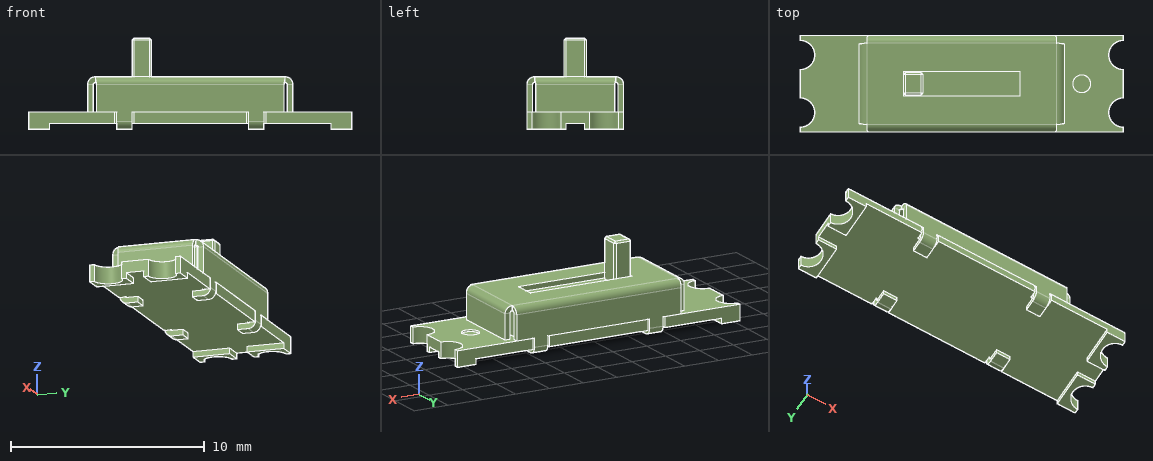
import cadquery as cq

length = 16.7
width = 5.0
height = 4.71

sheet = 0.3
bend_radius = 0.4
inner_bend_radius = bend_radius - sheet
corner_relief = 0.05
cover_length = 10.6
cover_top = 2.72
slot_length = 6.01
slot_width = 1.25

tab_width = 0.8
tab_spacing = 6.81
tab_reach = 1.0
notch_width = 1.0

foot_height = 0.3
base_top = 0.9
foot_length = 1.09
foot_gap = 0.95
foot_width = (width - foot_gap) / 2
foot_center_y = (foot_gap + foot_width) / 2
cutout_radius = 0.75
mark_diameter = 0.92
mark_depth = 0.1
mark_x = 6.2
block_length = 9.22
block_width = 4.09

knob_length = 1.0
knob_width = 1.17
knob_chamfer = 0.1

flat_length = cover_length - 2 * bend_radius
flat_width = width - 2 * bend_radius
cover_underside = cover_top - sheet
tab_centers = (-tab_spacing / 2, tab_spacing / 2)


def box(size_x, size_y, bottom, top, x=0.0, y=0.0):
    """Upright box centred on (x, y) between two heights."""
    return cq.Workplane("XY", origin=(x, y, bottom)).rect(size_x, size_y).extrude(top - bottom)


def quarter_bend(center_y, center_z, side_y, side_z, bend_width):
    """Quarter ring of sheet along X, in the quadrant that side_y and side_z (+1 or -1) choose."""
    ring = (
        cq.Workplane("YZ", origin=(-bend_width / 2, center_y, center_z))
        .circle(bend_radius)
        .circle(inner_bend_radius)
        .extrude(bend_width)
    )
    quadrant_y = center_y + side_y * bend_radius / 2
    quadrant_z = sorted((center_z, center_z + side_z * bend_radius))
    return ring.intersect(box(bend_width, bend_radius, *quadrant_z, y=quadrant_y))


def make_wall(top_width, half_depth):
    """Bend and wall on the -Y side, with the outer face half_depth from the Z axis."""
    wall_width = top_width - 2 * corner_relief
    bend_bottom = cover_top - bend_radius
    bend = quarter_bend(bend_radius - half_depth, bend_bottom, -1, 1, top_width)

    taper = (
        cq.Workplane("XZ")
        .polyline([
            (-top_width / 2, cover_top),
            (top_width / 2, cover_top),
            (wall_width / 2, bend_bottom),
            (-wall_width / 2, bend_bottom),
        ])
        .close()
        .extrude(half_depth)
    )
    wall = box(wall_width, sheet, base_top, bend_bottom, y=sheet / 2 - half_depth)
    return bend.intersect(taper).union(wall)


def make_tab(x):
    """Tab that runs down from the -Y wall and folds in under the base."""
    drop = box(tab_width, sheet, bend_radius, base_top, y=(sheet - width) / 2)
    bend = quarter_bend(bend_radius - width / 2, bend_radius, -1, -1, tab_width)
    leg_length = tab_reach - bend_radius
    leg = box(tab_width, leg_length, 0, sheet, y=bend_radius + leg_length / 2 - width / 2)
    return drop.union(bend).union(leg).translate((x, 0, 0))


def make_cover():
    side = make_wall(flat_length, width / 2)
    for x in tab_centers:
        side = side.union(make_tab(x))
    end = make_wall(flat_width, cover_length / 2)

    cover = box(flat_length, flat_width, cover_underside, cover_top)
    for turn in (0, 180):
        cover = cover.union(side.rotate((0, 0, 0), (0, 0, 1), turn))
        cover = cover.union(end.rotate((0, 0, 0), (0, 0, 1), turn + 90))
    return cover.cut(box(slot_length, slot_width, cover_underside, cover_top))


def make_base():
    base = box(length, width, foot_height, base_top)
    base = base.union(box(block_length, block_width, base_top, cover_underside))

    for side_x in (-1, 1):
        for side_y in (-1, 1):
            foot_x = side_x * (length - foot_length) / 2
            foot_y = side_y * foot_center_y
            base = base.union(box(foot_length, foot_width, 0, foot_height, foot_x, foot_y))
            cutout = cq.Workplane("XY").center(side_x * length / 2, foot_y).circle(cutout_radius)
            base = base.cut(cutout.extrude(base_top))

    for x in tab_centers:
        for side_y in (-1, 1):
            notch_y = side_y * (width - bend_radius) / 2
            base = base.cut(box(notch_width, bend_radius, foot_height, base_top, x, notch_y))

    mark = cq.Workplane("XY", origin=(mark_x, 0, base_top)).circle(mark_diameter / 2)
    return base.cut(mark.extrude(-mark_depth))


def make_slider():
    """Knob at the -X end of the slot, standing on the raised block."""
    knob_x = (knob_length - slot_length) / 2
    knob = box(knob_length, knob_width, cover_underside, height, knob_x)
    return knob.edges("|Z or >Z").chamfer(knob_chamfer)


base = make_base()
cover = make_cover()
slider = make_slider()

result = cq.Compound.makeCompound([base.val(), cover.val(), slider.val()])